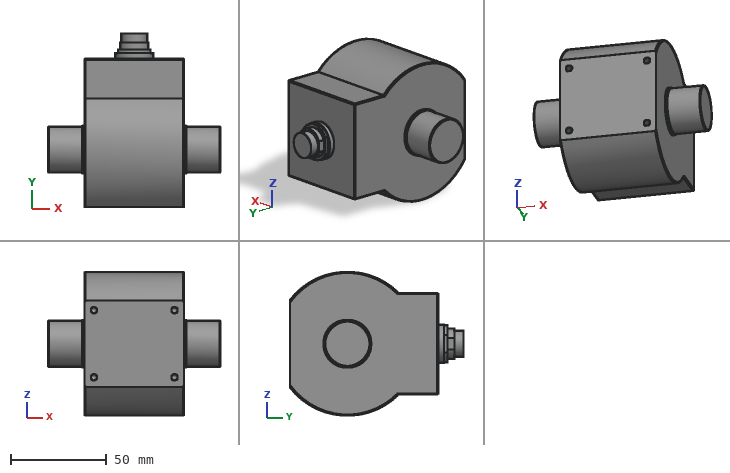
import cadquery as cq
import math

drum_diameter = 75.0
drum_radius = drum_diameter / 2
housing_width = 52.0
front_y = -30.0
back_y = 47.4
block_height = 52.7
edge_chamfer = 0.5

shaft_length = 90.0
shaft_diameter = 24.0
shaft_chamfer = 0.45
shoulder_diameter = 25.0
shoulder_width = 1.3
shoulder_chamfer = 0.45

hole_diameter = 3.3
hole_depth = 8.0
hole_spacing_x = 42.0
hole_spacing_z = 35.0
drill_tip_angle = 118

base_diameter = 20.0
base_length = 2.9
collar_diameter = 19.5
collar_across_flats = 17.1
collar_length = 2.0
barrel_diameter = 15.95
barrel_across_flats = 14.8
barrel_length = 3.5
tip_diameter = 13.6
overall_depth = 90.6
connector_length = overall_depth + front_y - back_y


def cylinder_x(length, diameter):
    """Cylinder along X, centred on the origin."""
    return cq.Workplane("YZ").circle(diameter / 2).extrude(length / 2, both=True)


def make_housing():
    drum = cylinder_x(housing_width, drum_diameter).faces("<X or >X").chamfer(edge_chamfer)
    front_cutter = cq.Workplane("XY").box(housing_width, drum_diameter, drum_diameter)
    drum = drum.cut(front_cutter.translate((0, front_y - drum_radius, 0)))
    block = (
        cq.Workplane("XY")
        .box(housing_width, back_y, block_height)
        .translate((0, back_y / 2, 0))
        .faces("<X or >X or >Y")
        .edges()
        .chamfer(edge_chamfer)
    )
    return drum.union(block)


def make_shaft():
    shaft = cylinder_x(shaft_length, shaft_diameter).faces("<X or >X").chamfer(shaft_chamfer)
    shoulder_length = housing_width + 2 * shoulder_width
    shoulder = cylinder_x(shoulder_length, shoulder_diameter)
    return shaft.union(shoulder.faces("<X or >X").chamfer(shoulder_chamfer))


def mounting_hole(x, z):
    radius = hole_diameter / 2
    tip_depth = radius / math.tan(math.radians(drill_tip_angle / 2))
    bottom_y = front_y + hole_depth
    drill = (
        cq.Workplane("XY")
        .moveTo(0, front_y)
        .lineTo(radius, front_y)
        .lineTo(radius, bottom_y)
        .lineTo(0, bottom_y + tip_depth)
        .close()
        .revolve(360, (0, 0, 0), (0, 1, 0))
    )
    return drill.translate((x, 0, z))


def connector_step(start_y, length, diameter, across_flats):
    """Cylinder along +Y, trimmed to a width across two flats facing -X and +X."""
    step = cq.Workplane("XZ", origin=(0, start_y, 0)).circle(diameter / 2).extrude(-length)
    trim = cq.Workplane("XZ", origin=(0, start_y, 0)).rect(across_flats, diameter).extrude(-length)
    return step.intersect(trim)


def make_connector():
    steps = [
        (base_length, base_diameter, base_diameter),
        (collar_length, collar_diameter, collar_across_flats),
        (barrel_length, barrel_diameter, barrel_across_flats),
    ]
    connector = cq.Workplane("XZ", origin=(0, back_y, 0)).circle(tip_diameter / 2).extrude(-connector_length)
    start_y = back_y
    for length, diameter, across_flats in steps:
        connector = connector.union(connector_step(start_y, length, diameter, across_flats))
        start_y += length
    return connector


result = make_housing().union(make_shaft()).union(make_connector())
for side_x in (-1, 1):
    for side_z in (-1, 1):
        result = result.cut(mounting_hole(side_x * hole_spacing_x / 2, side_z * hole_spacing_z / 2))